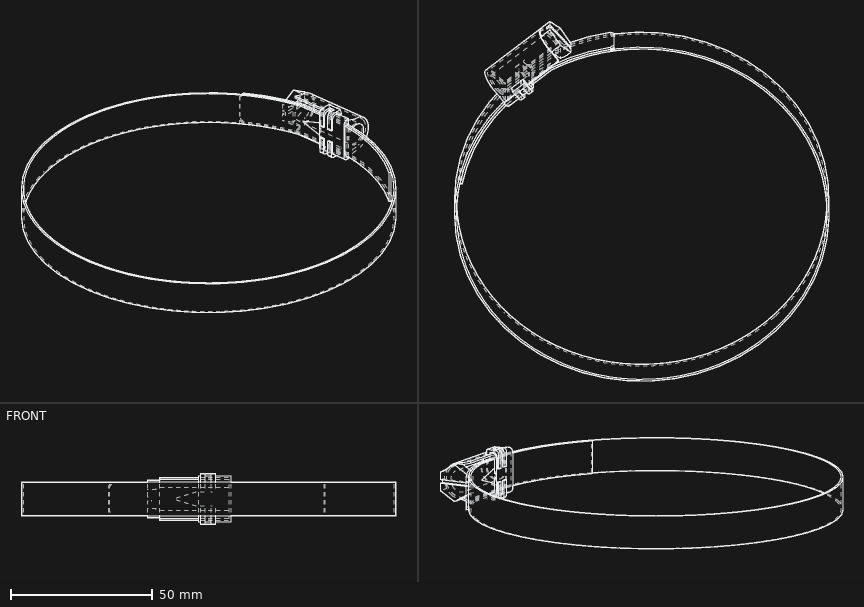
import cadquery as cq
import math


ring_radius = 66.2
band_thickness = 0.78
layer_pitch = 0.9
band_width = 11.8
bend_left_x = -9.0
bend_right_x = 5.5
bend_y = 45.5
outer_tail_angle = 121.9
inner_tail_angle = 51.0
tail_corner = 1.3
bulge_start_x = -12.1
bulge_tip_half_width = 0.1
bulge_half_width = 2.7
bulge_height = 0.7
bulge_tip_height = 0.04
bulge_root_y = 64.3

screw_y = 69.9
head_across_flats = 11.5
head_start_x = -21.7
shank_radius = 4.0
slot_width = 1.3
slot_depth = 1.4

housing_start_x = -17.4
housing_end_x = 7.8
housing_length = housing_end_x - housing_start_x
housing_top_y = 76.5
housing_base_y = 65.9
dome_edge_y = 70.6
dome_half_width = 6.5
flare_start_y = 69.0
flare_start_half_width = 6.7
foot_half_width = 7.5
housing_wall = 0.7

saddle_start_x = -3.7
saddle_length = housing_end_x - saddle_start_x
saddle_half_width = 8.1
saddle_bottom_y = 63.3
saddle_floor_y = 64.0
saddle_corner = 1.7
lug_start_x = -3.0
lug_length = 5.4
lug_top_y = 68.3
lug_shoulder_y = 67.6
lug_half_width = 9.0
rib_inner_z = 2.4
rib_bottom_y = 62.7
lug_corner_radius = 1.3
rib_width = 1.7
rib_groove_top_y = 66.2


def polar(radius, angle):
    return radius * math.cos(angle), radius * math.sin(angle)


def make_bulge():
    """Tapered swelling on the inner strip, widening towards the saddle."""
    surface_y = saddle_floor_y + (layer_pitch - band_thickness)

    def section(half_width, height):
        return [(bulge_root_y, -half_width), (surface_y, -half_width),
                (surface_y - height, 0), (surface_y, half_width), (bulge_root_y, half_width)]

    def draw(sketch, points):
        sketch = sketch.moveTo(*points[0]).lineTo(*points[1])
        sketch = sketch.spline(points[2:4], tangents=[(0, 1), (0, 1)], includeCurrent=True)
        return sketch.lineTo(*points[4]).close()

    start = cq.Workplane("YZ", origin=(bulge_start_x, 0, 0))
    tip = draw(start, section(bulge_tip_half_width, bulge_tip_height))
    end = tip.workplane(offset=saddle_start_x - bulge_start_x)
    return draw(end, section(bulge_half_width, bulge_height)).loft(ruled=True)


def make_tail_corners():
    """Wedges that clip the two corners of the outer tail."""
    half_width = band_width / 2
    radius = ring_radius + layer_pitch
    wedges = cq.Workplane("XY")
    for side in (-1, 1):
        wedge = (
            cq.Workplane("YZ", origin=(radius - band_thickness - layer_pitch / 2, 0, 0))
            .polyline([(0, side * half_width), (0, side * (half_width - tail_corner)),
                       (-tail_corner, side * half_width)])
            .close()
            .extrude(2 * layer_pitch)
        )
        wedges = wedges.add(wedge.rotate((0, 0, 0), (0, 0, 1), outer_tail_angle))
    return wedges.vals()


def make_band():
    left = math.atan2(bend_y, bend_left_x)
    right = math.atan2(bend_y, bend_right_x)
    outer_end = math.radians(outer_tail_angle)
    inner_end = math.radians(inner_tail_angle)
    arcs = [
        (layer_pitch, outer_end, left),
        (0, right, left - 2 * math.pi),
        (-layer_pitch, right, inner_end),
    ]

    def add_arc(outline, radius, start, end):
        outline = outline.lineTo(*polar(radius, start))
        return outline.threePointArc(polar(radius, (start + end) / 2), polar(radius, end))

    outline = cq.Workplane("XY").moveTo(*polar(ring_radius + layer_pitch - band_thickness, outer_end))
    for offset, start, end in arcs:
        outline = add_arc(outline, ring_radius + offset, start, end)
    inner_radius = ring_radius - band_thickness
    outline = add_arc(outline, inner_radius - layer_pitch, inner_end, right)
    outline = add_arc(outline, inner_radius, left - 2 * math.pi, right)
    outline = outline.lineTo(*polar(inner_radius + layer_pitch, left))
    outline = outline.threePointArc(
        polar(inner_radius + layer_pitch, (left + outer_end) / 2),
        polar(inner_radius + layer_pitch, outer_end),
    )
    band = outline.close().extrude(band_width / 2, both=True)
    for wedge in make_tail_corners():
        band = band.cut(cq.Workplane(wedge))
    return band.union(make_bulge())


def make_screw(band):
    """Slotted hexagon screw; the head is relieved where the band passes under it."""
    head_length = housing_start_x - head_start_x
    corner_diameter = head_across_flats / math.cos(math.pi / 6)
    head = (
        cq.Workplane("YZ", origin=(head_start_x, screw_y, 0))
        .transformed(rotate=(0, 0, 90))
        .polygon(6, corner_diameter)
        .extrude(head_length)
    )
    slot = cq.Workplane("XY").box(2 * slot_depth, corner_diameter, slot_width)
    slot = slot.translate((head_start_x, screw_y, 0))
    return head.cut(slot).cut(band).union(make_shank())


def make_shank():
    start = cq.Workplane("YZ", origin=(housing_start_x, screw_y, 0))
    return start.circle(shank_radius).extrude(housing_length)


def make_arch(inset):
    """Solid arch with the housing's outline, drawn in by the inset except at its base."""
    foot = foot_half_width - inset
    flare = flare_start_half_width - inset
    dome = dome_half_width - inset
    return (
        cq.Workplane("YZ", origin=(housing_start_x, 0, 0))
        .moveTo(housing_base_y, -foot)
        .lineTo(flare_start_y, -flare)
        .lineTo(dome_edge_y, -dome)
        .threePointArc((housing_top_y - inset, 0), (dome_edge_y, dome))
        .lineTo(flare_start_y, flare)
        .lineTo(housing_base_y, foot)
        .close()
        .extrude(housing_length)
    )


def make_housing():
    """Sheet arch over the screw, open along its base, with an end wall that carries the shank."""
    cavity = make_arch(housing_wall).translate((-housing_wall, 0, 0))
    return make_arch(0).cut(cavity).cut(make_shank())


def make_lug():
    """Side lug at +Z: a full-width shoulder above two ribs that wrap under the saddle."""
    blank = (
        cq.Workplane("YZ", origin=(lug_start_x, 0, 0))
        .moveTo(rib_bottom_y, rib_inner_z)
        .lineTo(rib_bottom_y, lug_half_width)
        .lineTo(lug_shoulder_y, lug_half_width)
        .lineTo(lug_top_y, flare_start_half_width)
        .lineTo(housing_base_y, flare_start_half_width)
        .lineTo(saddle_floor_y, band_width / 2)
        .lineTo(saddle_floor_y, rib_inner_z)
        .close()
        .extrude(lug_length)
        .faces(">Z")
        .edges("<Y")
        .fillet(lug_corner_radius)
    )
    groove = cq.Workplane("XY").box(
        lug_length - 2 * rib_width, rib_groove_top_y - rib_bottom_y, 2 * lug_half_width
    )
    groove = groove.translate((lug_start_x + lug_length / 2, (rib_groove_top_y + rib_bottom_y) / 2, 0))
    return blank.cut(groove)


def make_saddle():
    height = housing_base_y - saddle_bottom_y
    saddle = (
        cq.Workplane("XY")
        .box(saddle_length, height, 2 * saddle_half_width, centered=(False, False, True))
        .translate((saddle_start_x, saddle_bottom_y, 0))
        .edges("|X and <Y")
        .fillet(saddle_corner)
    )
    channel = (
        cq.Workplane("XY")
        .box(saddle_length, height, band_width, centered=(False, False, True))
        .translate((saddle_start_x, saddle_floor_y, 0))
    )
    lug = make_lug()
    saddle = saddle.cut(channel).union(lug).union(lug.mirror("XY"))
    return saddle.cut(make_arch(0))


band = make_band()
screw = make_screw(band)
housing = make_housing()
saddle = make_saddle()
result = cq.Compound.makeCompound([band.val(), screw.val(), housing.val(), saddle.val()])